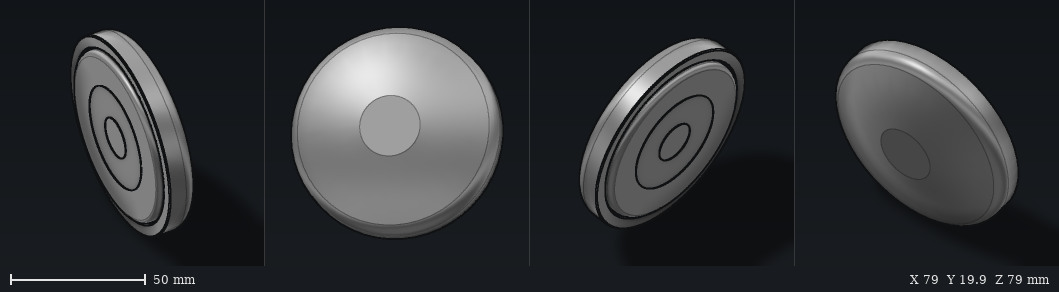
import cadquery as cq
import math

outer_radius = 39.5
total_height = 19.9

rim_bottom = 2.0
rim_chamfer = 0.5
wall_top = 8.85
shoulder_radius = 5.1
dome_radius = 97.95
recess_radius = 34.4
recess_chamfer = 0.55
recess_top = wall_top

radial_gap = 0.4
base_radius = recess_radius - radial_gap
base_fillet = 2.0
groove_inner_radius = 8.05
groove_outer_radius = 20.5
groove_depth = 0.3


def revolve_about_y(profile):
    """Revolve a closed radius-height profile a full turn about the Y axis."""
    return profile.close().revolve(360, (0, 0, 0), (0, 1, 0))


def make_housing():
    """Domed cap with a rounded shoulder and a round recess in its underside."""
    shoulder_x = outer_radius - shoulder_radius
    center_distance = dome_radius - shoulder_radius
    dome_angle = math.asin(shoulder_x / center_distance)
    dome_center_y = wall_top - center_distance * math.cos(dome_angle)

    def shoulder_point(angle):
        return (shoulder_x + shoulder_radius * math.sin(angle),
                wall_top + shoulder_radius * math.cos(angle))

    def dome_point(angle):
        return (dome_radius * math.sin(angle),
                dome_center_y + dome_radius * math.cos(angle))

    flat_angle = math.acos((total_height - dome_center_y) / dome_radius)
    shoulder_middle = (dome_angle + math.pi / 2) / 2
    dome_middle = (dome_angle + flat_angle) / 2

    profile = (
        cq.Workplane("XY")
        .moveTo(0, recess_top)
        .lineTo(recess_radius, recess_top)
        .lineTo(recess_radius, rim_bottom + recess_chamfer)
        .lineTo(recess_radius + recess_chamfer, rim_bottom)
        .lineTo(outer_radius - rim_chamfer, rim_bottom)
        .lineTo(outer_radius, rim_bottom + rim_chamfer)
        .lineTo(outer_radius, wall_top)
        .threePointArc(shoulder_point(shoulder_middle), shoulder_point(dome_angle))
        .threePointArc(dome_point(dome_middle), dome_point(flat_angle))
        .lineTo(0, total_height)
    )
    return revolve_about_y(profile)


def make_base():
    """Disc seated in the recess, with a rounded edge and a shallow ring groove below."""
    fillet_start = base_radius - base_fillet
    fillet_middle = (fillet_start + base_fillet * math.sqrt(0.5),
                     base_fillet * (1 - math.sqrt(0.5)))
    profile = (
        cq.Workplane("XY")
        .lineTo(groove_inner_radius, 0)
        .lineTo(groove_inner_radius, groove_depth)
        .lineTo(groove_outer_radius, groove_depth)
        .lineTo(groove_outer_radius, 0)
        .lineTo(fillet_start, 0)
        .threePointArc(fillet_middle, (base_radius, base_fillet))
        .lineTo(base_radius, recess_top)
        .lineTo(0, recess_top)
    )
    return revolve_about_y(profile)


housing = make_housing()
base = make_base()
result = cq.Compound.makeCompound([housing.val(), base.val()])